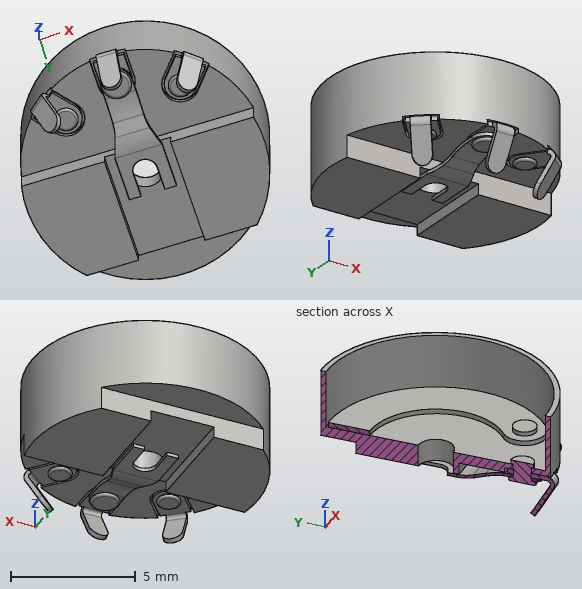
import cadquery as cq
import math


cup_radius = 5.0
cup_height = 3.0
bore_radius = 4.75
floor_thickness = 0.47
hub_hole_radius = 0.75

foot_front_y = -1.02
foot_back_y = 3.47
foot_depth = 1.0
channel_width = 2.79
channel_roof_z = -0.51

pitch_radius = 3.75
terminal_angle = 40.0
rivet_angles = [-terminal_angle, 0.0, terminal_angle]
rivet_top_radius = 0.5
outer_lower_head_radius = 0.49
rivet_head_thickness = 0.18
middle_lower_head_radius = 0.6
shank_radius = 0.39
track_width = 1.81
track_thickness = 0.21
track_top_z = floor_thickness + track_thickness

sheet_thickness = 0.2
plate_width = 1.3
recess_width = 1.5
leg_width = 0.83
leg_tip_length = 0.49
leg_reach = 5.16
leg_tip_z = -1.73
leg_bend_angle = 120.0
leg_bend_radius = 0.34
leg_bend_y = leg_bend_radius - leg_reach
leg_bend_z = sheet_thickness - leg_bend_radius

collector_thickness = 0.15
collector_drop = 0.52
collector_slope = 20.0
upper_bend_radius = 3.05
lower_bend_radius = 2.24
collector_tail_width = 1.3
collector_head_width = 1.99
collector_end_y = 1.0
upper_bend_start_y = -3.25
flare_start_y = -2.21
flare_arc_end = (0.75, -1.62)
flare_end_y = -0.89
fork_slot_width = 1.0


def turned(body, angle):
    """Turn a body from the -Y direction about the cup axis."""
    return body.rotate((0, 0, 0), (0, 0, 1), angle)


def cylinder(radius, bottom_z, top_z, center_y=0.0):
    """A vertical cylinder centred on X = 0."""
    disc = cq.Workplane("XY", origin=(0, center_y, bottom_z)).circle(radius)
    return disc.extrude(top_z - bottom_z)


def tongue(width, outer_y, bottom_z, top_z):
    """A strip from outer_y to the middle rivet, with its inner end rounded about that rivet."""
    half = width / 2
    outline = (
        cq.Workplane("XY", origin=(0, 0, bottom_z))
        .moveTo(-half, outer_y)
        .lineTo(half, outer_y)
        .lineTo(half, -pitch_radius)
        .threePointArc((0, half - pitch_radius), (-half, -pitch_radius))
        .close()
    )
    return outline.extrude(top_z - bottom_z)


def make_housing():
    cup = cylinder(cup_radius, 0, cup_height).cut(cylinder(bore_radius, floor_thickness, cup_height))

    foot_length = foot_back_y - foot_front_y
    foot_middle_y = (foot_front_y + foot_back_y) / 2
    foot_slab = cq.Workplane("XY", origin=(0, foot_middle_y, -foot_depth)).rect(2 * cup_radius, foot_length)
    foot = cylinder(cup_radius, -foot_depth, 0).intersect(foot_slab.extrude(foot_depth))
    channel = cq.Workplane("XY", origin=(0, foot_middle_y, -foot_depth)).rect(channel_width, foot_length)
    foot = foot.cut(channel.extrude(foot_depth + channel_roof_z))

    housing = cup.union(foot).cut(cylinder(hub_hole_radius, -foot_depth, cup_height))
    recess = tongue(recess_width, -cup_radius, 0, sheet_thickness)
    rivet_hole = cylinder(shank_radius, 0, floor_thickness, -pitch_radius)
    for angle in rivet_angles:
        housing = housing.cut(turned(recess.union(rivet_hole), angle))
    return housing


def make_track():
    """A horseshoe band open towards -Y, with round ends drilled for the outer rivets."""

    def polar(radius, angle):
        """The point at an angle measured from the -Y direction."""
        turn = math.radians(angle)
        return (radius * math.sin(turn), -radius * math.cos(turn))

    outer = pitch_radius + track_width / 2
    inner = pitch_radius - track_width / 2
    right_rivet = polar(pitch_radius, terminal_angle)
    end_x = right_rivet[0] - track_width / 2 * math.cos(math.radians(terminal_angle))
    end_y = right_rivet[1] - track_width / 2 * math.sin(math.radians(terminal_angle))
    band = (
        cq.Workplane("XY", origin=(0, 0, floor_thickness))
        .moveTo(*polar(outer, terminal_angle))
        .threePointArc((0, outer), polar(outer, -terminal_angle))
        .threePointArc((-end_x, end_y), polar(inner, -terminal_angle))
        .threePointArc((0, inner), polar(inner, terminal_angle))
        .threePointArc((end_x, end_y), polar(outer, terminal_angle))
        .close()
        .extrude(track_thickness)
    )
    for angle in (-terminal_angle, terminal_angle):
        band = band.cut(turned(cylinder(shank_radius, floor_thickness, track_top_z, -pitch_radius), angle))
    return band


def make_rivet(grip_bottom_z, grip_top_z, lower_head_radius):
    """A shank between a flat disc head on top and a lower head with a fully rounded edge."""
    edge_radius = rivet_head_thickness / 2
    flat_radius = lower_head_radius - edge_radius
    bottom_z = grip_bottom_z - rivet_head_thickness
    top_z = grip_top_z + rivet_head_thickness
    profile = (
        cq.Workplane("XZ", origin=(0, -pitch_radius, 0))
        .moveTo(0, bottom_z)
        .lineTo(flat_radius, bottom_z)
        .threePointArc((lower_head_radius, bottom_z + edge_radius), (flat_radius, grip_bottom_z))
        .lineTo(shank_radius, grip_bottom_z)
        .lineTo(shank_radius, grip_top_z)
        .lineTo(rivet_top_radius, grip_top_z)
        .lineTo(rivet_top_radius, top_z)
        .lineTo(0, top_z)
        .close()
    )
    return profile.revolve(360, (0, 0, 0), (0, 1, 0))


def make_terminal():
    """A riveted plate whose narrow leg bends down and back under the cup, ending in an elliptical tip."""
    plate = tongue(plate_width, leg_bend_y, 0, sheet_thickness)
    plate = plate.cut(cylinder(shank_radius, 0, sheet_thickness, -pitch_radius))

    bend_section = cq.Workplane("XZ", origin=(0, leg_bend_y, 0))
    bend_section = bend_section.center(0, sheet_thickness / 2).rect(leg_width, sheet_thickness)
    axis_height = leg_bend_z - sheet_thickness / 2
    bend = bend_section.revolve(leg_bend_angle, (-0.1, axis_height, 0), (0.1, axis_height, 0))

    turn = math.radians(leg_bend_angle)
    outward = cq.Vector(0, -math.sin(turn), math.cos(turn))
    start = cq.Vector(0, leg_bend_y, leg_bend_z) + outward * leg_bend_radius
    leg_length = (start.z - leg_tip_z) / math.sin(turn)
    straight_length = leg_length - leg_tip_length
    leg_plane = cq.Workplane(cq.Plane(origin=start, xDir=(1, 0, 0), normal=outward))
    leg = leg_plane.center(0, -straight_length / 2).rect(leg_width, straight_length).extrude(-sheet_thickness)
    tip = leg_plane.center(0, -straight_length).ellipse(leg_width / 2, leg_tip_length)
    leg = leg.union(tip.extrude(-sheet_thickness))
    return plate.union(bend).union(leg)


def make_collector():
    """A strip under the middle terminal that slopes down to a fork under the hub hole."""
    slope = math.radians(collector_slope)
    upper_bend_drop = upper_bend_radius * (1 - math.cos(slope))
    lower_bend_drop = lower_bend_radius * (1 - math.cos(slope))
    ramp_drop = collector_drop - upper_bend_drop - lower_bend_drop

    tail_z = -collector_thickness / 2
    fork_z = tail_z - collector_drop
    tail_y = -pitch_radius - collector_tail_width / 2
    ramp_start_y = upper_bend_start_y + upper_bend_radius * math.sin(slope)
    ramp_end_y = ramp_start_y + ramp_drop / math.tan(slope)
    fork_start_y = ramp_end_y + lower_bend_radius * math.sin(slope)
    middle_line = (
        cq.Workplane("YZ")
        .moveTo(tail_y, tail_z)
        .lineTo(upper_bend_start_y, tail_z)
        .tangentArcPoint((ramp_start_y, tail_z - upper_bend_drop), relative=False)
        .lineTo(ramp_end_y, fork_z + lower_bend_drop)
        .tangentArcPoint((fork_start_y, fork_z), relative=False)
        .lineTo(collector_end_y, fork_z)
    )
    sheet = cq.Workplane("XZ", origin=(0, tail_y, tail_z)).rect(collector_head_width, collector_thickness)
    sheet = sheet.sweep(middle_line)

    tail_half = collector_tail_width / 2
    head_half = collector_head_width / 2
    half_outline = (
        cq.Workplane("XY", origin=(0, 0, -foot_depth))
        .moveTo(0, -pitch_radius)
        .lineTo(tail_half, -pitch_radius)
        .lineTo(tail_half, flare_start_y)
        .tangentArcPoint(flare_arc_end, relative=False)
        .lineTo(head_half, flare_end_y)
        .lineTo(head_half, collector_end_y)
        .lineTo(0, collector_end_y)
        .close()
        .extrude(foot_depth)
    )
    round_tail = cylinder(tail_half, -foot_depth, 0, -pitch_radius)
    outline = half_outline.union(half_outline.mirror("YZ")).union(round_tail)
    slot = cq.Workplane("XY", origin=(0, collector_end_y / 2, -foot_depth))
    slot = slot.rect(fork_slot_width, collector_end_y).extrude(foot_depth)
    slot = slot.union(cylinder(fork_slot_width / 2, -foot_depth, 0))
    rivet_hole = cylinder(shank_radius, -foot_depth, 0, -pitch_radius)
    return sheet.intersect(outline).cut(slot).cut(rivet_hole)


housing = make_housing()
track = make_track()
collector = make_collector()

terminals = [turned(make_terminal(), angle) for angle in rivet_angles]
middle_rivet = make_rivet(-collector_thickness, floor_thickness, middle_lower_head_radius)
outer_rivets = []
for angle in (-terminal_angle, terminal_angle):
    outer_rivets.append(turned(make_rivet(0, track_top_z, outer_lower_head_radius), angle))

bodies = [housing, track, collector, middle_rivet, *outer_rivets, *terminals]
result = cq.Compound.makeCompound([body.solids().val() for body in bodies])